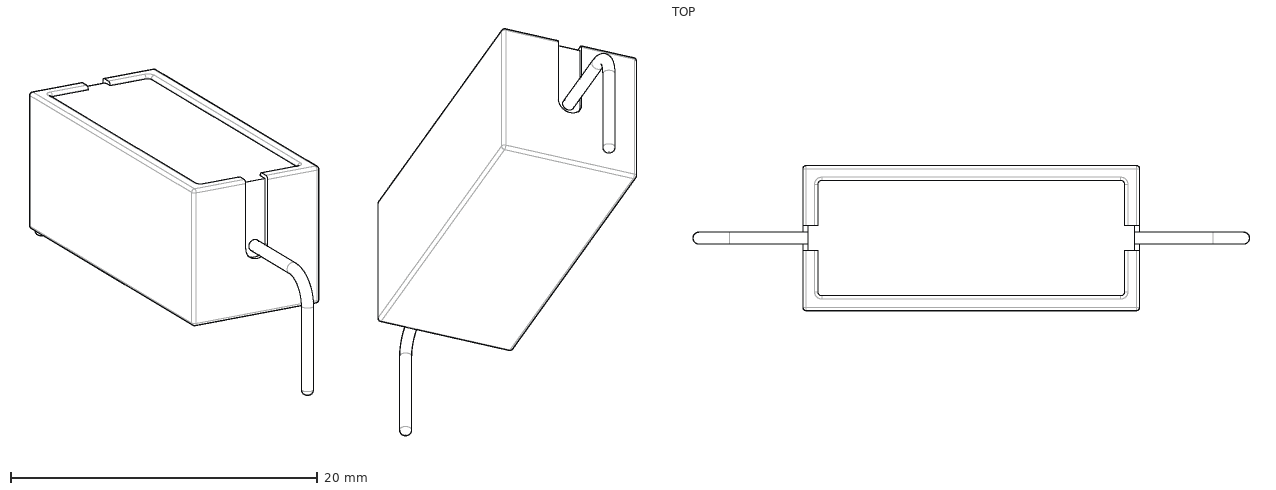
import cadquery as cq

HOUSING_LENGTH = 22.0
HOUSING_SIDE = 9.5
EDGE_RADIUS = 0.2

RIM_WIDTH = 0.98
RIM_EDGE_RADIUS = 0.2
POCKET_DEPTH = 0.25
POCKET_CORNER_RADIUS = 0.25

SLOT_WIDTH = 1.65
SLOT_DEPTH = 0.33

OVERALL_LENGTH = 36.35
OVERALL_HEIGHT = 12.9
WIRE_DIAMETER = 0.8
BEND_RADIUS = 2.0
TIP_RADIUS = 0.35

HOUSING_TOP = HOUSING_SIDE / 2
HOUSING_END = HOUSING_LENGTH / 2
POCKET_FLOOR = HOUSING_TOP - POCKET_DEPTH
LEG_X = (OVERALL_LENGTH - WIRE_DIAMETER) / 2
TIP_Z = HOUSING_TOP - OVERALL_HEIGHT
BEND_START_X = LEG_X - BEND_RADIUS


def make_block():
    """Square bar with all its edges rounded."""
    block = cq.Workplane("XY").box(HOUSING_LENGTH, HOUSING_SIDE, HOUSING_SIDE)
    return block.edges().fillet(EDGE_RADIUS)


def make_pocket():
    """Volume of the top pocket, with rounded corners and upright walls."""
    return (
        cq.Workplane("XY", origin=(0, 0, POCKET_FLOOR))
        .rect(HOUSING_LENGTH - 2 * RIM_WIDTH, HOUSING_SIDE - 2 * RIM_WIDTH)
        .extrude(POCKET_DEPTH)
        .edges("|Z")
        .fillet(POCKET_CORNER_RADIUS)
    )


def make_rim_gaps():
    """Gaps in the pocket rim at both ends, level with the pocket floor."""
    return (
        cq.Workplane("XY", origin=(0, 0, POCKET_FLOOR))
        .rect(HOUSING_LENGTH, SLOT_WIDTH)
        .extrude(POCKET_DEPTH)
    )


def make_end_slot(side):
    """Slot in one end face, from the top down to a half round about the wire axis."""
    half_width = SLOT_WIDTH / 2
    return (
        cq.Workplane("YZ", origin=(side * HOUSING_END, 0, 0))
        .moveTo(-half_width, HOUSING_TOP)
        .lineTo(-half_width, 0)
        .threePointArc((0, -half_width), (half_width, 0))
        .lineTo(half_width, HOUSING_TOP)
        .close()
        .extrude(-side * SLOT_DEPTH)
    )


def make_wire_hole():
    """Straight hole along the housing that the wire fills."""
    return (
        cq.Workplane("YZ", origin=(-HOUSING_END, 0, 0))
        .circle(WIRE_DIAMETER / 2)
        .extrude(HOUSING_LENGTH)
    )


def round_rim(housing):
    """Round the inner edge of the rim, the shorter loop around the top face."""
    inner_loop = cq.selectors.LengthNthSelector(0)
    return housing.faces(">Z").wires(inner_loop).fillet(RIM_EDGE_RADIUS)


def make_housing():
    housing = round_rim(make_block().cut(make_pocket()))
    housing = housing.cut(make_rim_gaps())
    for side in (-1, 1):
        housing = housing.cut(make_end_slot(side))
    return housing.cut(make_wire_hole())


def make_wire():
    """Round wire with a quarter bend and a downward leg at each end."""
    path = (
        cq.Workplane("XZ")
        .moveTo(-LEG_X, TIP_Z)
        .lineTo(-LEG_X, -BEND_RADIUS)
        .radiusArc((-BEND_START_X, 0), BEND_RADIUS)
        .lineTo(BEND_START_X, 0)
        .radiusArc((LEG_X, -BEND_RADIUS), BEND_RADIUS)
        .lineTo(LEG_X, TIP_Z)
    )
    wire = (
        cq.Workplane("XY", origin=(-LEG_X, 0, TIP_Z))
        .circle(WIRE_DIAMETER / 2)
        .sweep(path)
    )
    return wire.faces("<Z").edges().fillet(TIP_RADIUS)


housing = make_housing()
wire = make_wire()

result = cq.Compound.makeCompound([housing.val(), wire.val()])